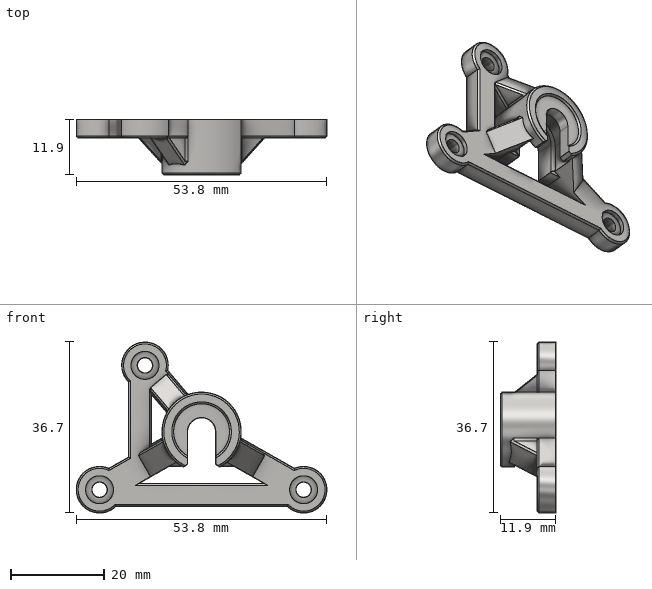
import cadquery as cq
import math

HUB_RADIUS = 8.5
HUB_LENGTH = 11.9
HUB_FLAT_Z = -7.45
BORE_RADIUS = 5.6
BORE_BACK_Y = -4.2
RECESS_RADIUS = 6.4
RECESS_DEPTH = 0.4
NECK_RADIUS = 4.4
LIP_SLOT_RADIUS = 3.0
LIP_DEPTH = 3.0
MOUTH_TOP_Z = -6.95
MOUTH_ANGLE = 35.0

PLATE_THICKNESS = 4.0
EDGE_CHAMFER = 0.4
PAD_RADIUS = 5.0
SCREW_DIAMETER = 3.25
COUNTERBORE_DIAMETER = 6.0
COUNTERBORE_DEPTH = 1.0
PAD_SPAN_X = 43.8
PAD_SPAN_Z = 26.69
LOWER_PAD_Z = -12.45
TOP_PAD_X = -12.15
ARM_WIDTH = 6.0
BAR_WIDTH = 4.9
BAR_OFFSET = 3.55

RIB_REACH = 14.3
RIB_RISE = 5.55
RIB_ROOT = (HUB_RADIUS + BORE_RADIUS) / 2

LEFT_PAD = (-PAD_SPAN_X / 2, LOWER_PAD_Z)
RIGHT_PAD = (PAD_SPAN_X / 2, LOWER_PAD_Z)
TOP_PAD = (TOP_PAD_X, LOWER_PAD_Z + PAD_SPAN_Z)
PADS = (LEFT_PAD, RIGHT_PAD, TOP_PAD)

HALF_ARM = ARM_WIDTH / 2
BAR_BOTTOM = LOWER_PAD_Z - BAR_OFFSET
BAR_TOP = BAR_BOTTOM + BAR_WIDTH
SIDE_BAR_LEFT = TOP_PAD_X - BAR_OFFSET
ARM_SLOPE = -LOWER_PAD_Z / RIGHT_PAD[0]
ARM_LENGTH = math.hypot(*RIGHT_PAD)
ARM_LOWER_EDGE_Z = -HALF_ARM * ARM_LENGTH / RIGHT_PAD[0]


def prism(outline, y_back, y_front):
    """Extrude a closed XZ outline from y_back forwards to y_front."""
    workplane = cq.Workplane("XZ", origin=(0, y_back, 0))
    return workplane.polyline(outline).close().extrude(y_back - y_front)


def box(x_min, x_max, y_back, y_front, z_min, z_max):
    corners = [(x_min, z_min), (x_max, z_min), (x_max, z_max), (x_min, z_max)]
    return prism(corners, y_back, y_front)


def disc(center, radius, y_back, y_front):
    workplane = cq.Workplane("XZ", origin=(0, y_back, 0))
    return workplane.center(*center).circle(radius).extrude(y_back - y_front)


def turn_towards(solid, pad):
    """Turn a solid lying along +X about the hub axis so that it points to a pad."""
    angle = math.degrees(math.atan2(pad[1], pad[0]))
    return solid.rotate((0, 0, 0), (0, -1, 0), angle)


def arm_edge_x(z):
    """X at which the lower edge of the right arm reaches height z."""
    return (ARM_LOWER_EDGE_Z - z) / ARM_SLOPE


def make_plate():
    front = -PLATE_THICKNESS
    plate = box(LEFT_PAD[0], RIGHT_PAD[0], 0, front, BAR_BOTTOM, BAR_TOP)
    side_bar_right = SIDE_BAR_LEFT + BAR_WIDTH
    plate = plate.union(box(SIDE_BAR_LEFT, side_bar_right, 0, front, LOWER_PAD_Z, TOP_PAD[1]))
    for pad in PADS:
        arm = box(0, math.hypot(*pad), 0, front, -HALF_ARM, HALF_ARM)
        plate = plate.union(turn_towards(arm, pad))
        plate = plate.union(disc(pad, PAD_RADIUS, 0, front))
    plate = plate.union(prism([(0, 0), RIGHT_PAD, LEFT_PAD], 0, front))
    return plate.faces("<Y").edges().chamfer(EDGE_CHAMFER)


def cut_lower_window(plate):
    top_x = arm_edge_x(HUB_FLAT_Z)
    bottom_x = arm_edge_x(BAR_TOP)
    outline = [(-bottom_x, BAR_TOP), (bottom_x, BAR_TOP), (top_x, HUB_FLAT_Z), (-top_x, HUB_FLAT_Z)]
    plate = plate.cut(prism(outline, 0, -PLATE_THICKNESS))
    low_z = BAR_TOP - EDGE_CHAMFER
    low_x = arm_edge_x(low_z)
    back = -PLATE_THICKNESS + EDGE_CHAMFER
    bevel_profile = [(back, BAR_TOP), (-PLATE_THICKNESS, BAR_TOP), (-PLATE_THICKNESS, low_z)]
    bevel = cq.Workplane("YZ").polyline(bevel_profile).close().extrude(low_x, both=True)
    arm_sides = [(-low_x, low_z), (low_x, low_z), (bottom_x, BAR_TOP), (-bottom_x, BAR_TOP)]
    return plate.cut(bevel.intersect(prism(arm_sides, 0, -PLATE_THICKNESS)))


def make_rib(pad, bevelled_sides):
    """Gusset between hub and arm, with bevels on the listed long sides (-1 low, 1 high).

    It is built along +X. A bevelled side is set in from the arm and flares out at the hub.
    """
    inset = HALF_ARM - EDGE_CHAMFER
    flare_end = math.sqrt(HUB_RADIUS ** 2 - HALF_ARM ** 2)
    flare_start = math.sqrt(HUB_RADIUS ** 2 - inset ** 2) + EDGE_CHAMFER
    flare_slope = EDGE_CHAMFER / (flare_start - flare_end)
    root_width = inset + (flare_start - RIB_ROOT) * flare_slope
    length = RIB_REACH - RIB_ROOT

    sides = {}
    ridge = {}
    for side in (-1, 1):
        if side in bevelled_sides:
            plan = [(RIB_REACH, inset), (flare_start, inset), (RIB_ROOT, root_width)]
            section = [(inset - EDGE_CHAMFER, 0), (inset - EDGE_CHAMFER + length, length)]
        else:
            plan = [(RIB_REACH, HALF_ARM), (RIB_ROOT, HALF_ARM)]
            section = [(HALF_ARM, 0), (HALF_ARM, length)]
        sides[side] = [(x, side * width) for x, width in plan]
        ridge[side] = [(side * width, depth) for width, depth in section]

    column = prism(sides[-1][::-1] + sides[1], -PLATE_THICKNESS, -HUB_LENGTH)
    slope_direction = cq.Vector(HUB_RADIUS - RIB_REACH, -RIB_RISE, 0)
    slope_plane = cq.Plane((RIB_REACH, -PLATE_THICKNESS, 0), (0, 0, 1), slope_direction)
    ridge_outline = ridge[-1][::-1] + ridge[1]
    roof = cq.Workplane(slope_plane).polyline(ridge_outline).close().extrude(2 * length, both=True)
    return turn_towards(column.intersect(roof), pad)


def slot(radius, y_back, y_front):
    """Round-topped slot on the hub axis, open downwards."""
    throat = box(-radius, radius, y_back, y_front, -HUB_RADIUS, 0)
    return disc((0, 0), radius, y_back, y_front).union(throat)


def cut_hub_slots(body):
    lip_back = -HUB_LENGTH + LIP_DEPTH
    body = body.cut(slot(NECK_RADIUS, 0, BORE_BACK_Y))
    body = body.cut(slot(BORE_RADIUS, BORE_BACK_Y, lip_back))
    body = body.cut(slot(LIP_SLOT_RADIUS, lip_back, -HUB_LENGTH))
    mouth_run = (HUB_RADIUS + MOUTH_TOP_Z) / math.tan(math.radians(MOUTH_ANGLE))
    mouth_x = LIP_SLOT_RADIUS + mouth_run
    mouth = [(-LIP_SLOT_RADIUS, MOUTH_TOP_Z), (LIP_SLOT_RADIUS, MOUTH_TOP_Z),
             (mouth_x, -HUB_RADIUS), (-mouth_x, -HUB_RADIUS)]
    body = body.cut(prism(mouth, lip_back, -HUB_LENGTH))
    recess = cq.Workplane("XZ", origin=(0, -HUB_LENGTH, 0)).circle(RECESS_RADIUS)
    return body.cut(recess.extrude(-RECESS_DEPTH, taper=45))


def cut_screw_holes(body):
    for pad in PADS:
        body = body.cut(disc(pad, SCREW_DIAMETER / 2, 0, -PLATE_THICKNESS))
        seat = -PLATE_THICKNESS + COUNTERBORE_DEPTH
        body = body.cut(disc(pad, COUNTERBORE_DIAMETER / 2, seat, -PLATE_THICKNESS))
    return body


body = cut_lower_window(make_plate())
hub = disc((0, 0), HUB_RADIUS, 0, -HUB_LENGTH).faces("<Y").edges().chamfer(EDGE_CHAMFER)
hub_base = box(-HUB_RADIUS, HUB_RADIUS, 0, -PLATE_THICKNESS, -HUB_RADIUS, HUB_FLAT_Z)
body = body.union(hub.cut(hub_base))
for pad, bevelled_sides in ((LEFT_PAD, [-1]), (RIGHT_PAD, [1]), (TOP_PAD, [-1, 1])):
    body = body.union(make_rib(pad, bevelled_sides))
result = cut_screw_holes(cut_hub_slots(body))